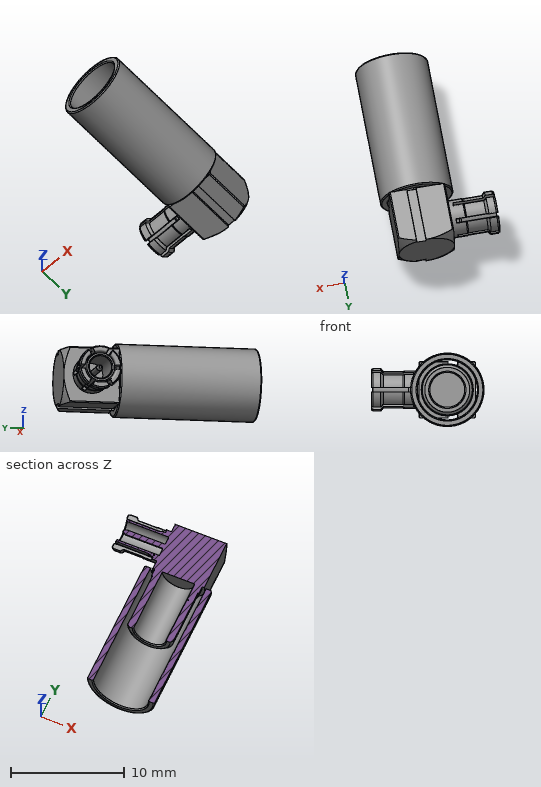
import cadquery as cq
import math


edge_break = 0.1

body_size = 5.0
body_half = body_size / 2
back_cone_angle = 30.0
groove_left = 0.07
groove_right = 0.9
groove_depth = 0.3

overall_length = 17.7
ferrule_length = overall_length - body_size
ferrule_diameter = 6.5
ferrule_radius = ferrule_diameter / 2
ferrule_bore_radius = 2.65

shoulder_radius = 2.3
shoulder_length = 0.7
stem_radius = 2.21
stem_length = 6.37
stem_end_chamfer = 0.23
stem_bore_radius = 1.54

overall_width = 9.95
plug_tip_x = ferrule_radius - overall_width
plug_length = -plug_tip_x - body_half
collar_radius = 1.9
collar_bevel_height = 0.1
collar_bevel_length = 0.16
collar_end = 0.81
neck_start = 1.05
neck_radius = 1.63
base_radius = 1.66
base_start = 2.9
finger_bore_radius = 1.38
finger_mouth_round = 0.16
slot_count = 6
slot_width = 0.37
slot_end = 3.73

sleeve_tip = 0.1
sleeve_radius = 1.25
sleeve_bore_radius = 1.01
sleeve_mouth_chamfer = 0.09
flare_start = 3.27
flare_end = 3.45
pin_radius = 0.27
pin_tip_radius = 0.1
pin_tip = 0.27
pin_cone_length = 0.35


def turned_on_x(points):
    """Revolve (distance from plug tip, radius) points about the X axis."""
    profile = cq.Workplane("XY").polyline([(plug_tip_x + along, radius) for along, radius in points])
    return profile.close().revolve(360, (0, 0, 0), (1, 0, 0))


def cylinder_on_y(radius, start, length):
    """Cylinder on the Y axis, running from y = start towards -Y."""
    return cq.Workplane("XZ", origin=(0, start, 0)).circle(radius).extrude(length)


def make_body():
    block = cq.Workplane("XY").box(body_size, body_size, body_size).edges("|Y").chamfer(edge_break)

    corner_radius = body_half * math.sqrt(2)
    cone_drop = (corner_radius - body_half) * math.tan(math.radians(back_cone_angle))
    envelope = (
        cq.Workplane("XY")
        .polyline([
            (0, -body_half),
            (corner_radius, -body_half),
            (corner_radius, body_half - cone_drop),
            (body_half, body_half),
            (0, body_half),
        ])
        .close()
        .revolve(360, (0, 0, 0), (0, 1, 0))
    )
    block = block.intersect(envelope)

    groove_width = groove_right - groove_left
    groove_centre = (groove_left + groove_right) / 2
    for side in (-1, 1):
        groove = cq.Workplane("XY").box(groove_width, body_size, 2 * groove_depth)
        block = block.cut(groove.translate((groove_centre, 0, side * body_half)))
    return block


def make_ferrule():
    tube = cylinder_on_y(ferrule_radius, -body_half, ferrule_length).faces("<Y or >Y").chamfer(edge_break)
    tube = tube.cut(cylinder_on_y(ferrule_bore_radius, -body_half, ferrule_length))
    return tube.faces("<Y").edges(cq.selectors.RadiusNthSelector(0)).chamfer(edge_break)


def make_stem():
    stem = cylinder_on_y(stem_radius, -body_half, stem_length).faces("<Y").chamfer(stem_end_chamfer)
    stem = stem.union(cylinder_on_y(shoulder_radius, -body_half, shoulder_length))
    stem = stem.cut(cylinder_on_y(stem_bore_radius, -body_half, stem_length))
    return stem.faces("<Y").edges(cq.selectors.RadiusNthSelector(0)).chamfer(edge_break)


def make_fingers():
    shell = turned_on_x([
        (0, finger_bore_radius),
        (0, collar_radius - collar_bevel_height),
        (collar_bevel_length, collar_radius),
        (collar_end, collar_radius),
        (neck_start, neck_radius),
        (base_start - edge_break, neck_radius),
        (base_start, base_radius),
        (plug_length, base_radius),
        (plug_length, finger_bore_radius),
    ])
    shell = shell.faces("<X").edges(cq.selectors.RadiusNthSelector(0)).fillet(finger_mouth_round)
    slot = (
        cq.Workplane("XY")
        .box(slot_end, collar_radius, slot_width)
        .translate((plug_tip_x + slot_end / 2, collar_radius / 2, 0))
    )
    for index in range(slot_count):
        shell = shell.cut(slot.rotate((0, 0, 0), (1, 0, 0), index * 360 / slot_count))
    return shell


def make_sleeve():
    return turned_on_x([
        (sleeve_tip, sleeve_bore_radius + sleeve_mouth_chamfer),
        (sleeve_tip, sleeve_radius),
        (flare_start, sleeve_radius),
        (flare_end, finger_bore_radius),
        (plug_length, finger_bore_radius),
        (plug_length, sleeve_bore_radius),
        (sleeve_tip + sleeve_mouth_chamfer, sleeve_bore_radius),
    ])


def make_pin():
    return turned_on_x([
        (pin_tip, 0),
        (pin_tip, pin_tip_radius),
        (pin_tip + pin_cone_length, pin_radius),
        (plug_length, pin_radius),
        (plug_length, 0),
    ])


result = make_body()
for component in (make_ferrule(), make_stem(), make_fingers(), make_sleeve(), make_pin()):
    result = result.union(component)